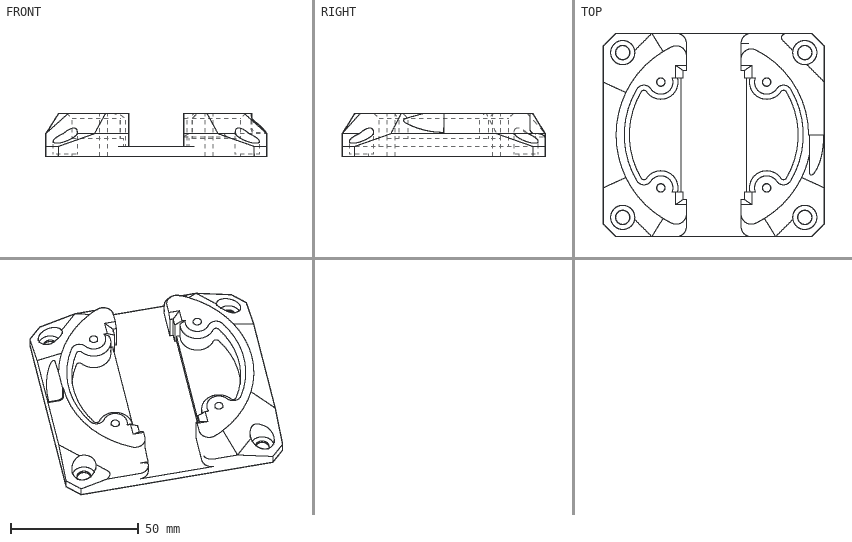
import cadquery as cq
import math

LENGTH = 87.0
WIDTH = 80.0
HEIGHT = 17.0
FLOOR_Z = 4.0
SHOULDER_Z = 9.0
POCKET_Z = 7.2
HALF_X = LENGTH / 2
HALF_Y = WIDTH / 2

LOW_CORNER = 5.0
HIGH_CORNER = 19.2

CHANNEL_HALF = 10.75
TIP_RADIUS = 4.0
TIP_X = CHANNEL_HALF + TIP_RADIUS
TIP_Y = HALF_Y - TIP_RADIUS
FLARE_MID_X = TIP_X - TIP_RADIUS * math.sqrt(0.5)
FLARE_MID_Y = TIP_Y + TIP_RADIUS * math.sqrt(0.5)
RIM_RADIUS = 38.4
SIDE_ANGLE = 25.8
END_ANGLE = 58.7

POCKET_RADIUS = 33.2
POCKET_START = 12.8
BOSS_OFFSET = 20.8
BOSS_RADIUS = 6.75
POCKET_FILLET = 1.25
POCKET_CHAMFER = 2.0
CHAMFER_Z = HEIGHT - POCKET_CHAMFER
BOSS_HOLE = 3.2

NOTCH_NEAR_Y = 22.4
NOTCH_FAR_Y = 25.4
NOTCH_X = 12.1
NOTCH_TOP_X = 15.0

MOUNT_X = 35.8
MOUNT_Y = 32.4
MOUNT_HOLE = 5.5
MOUNT_BORE = 9.5
BORE_Z = 1.0

LEDGE_RADIUS = 37.3
LEDGE_FILLET = 2.0
LEDGE_ROUND = 4.0
LEDGE_ROUND_WIDTH = 3.0

RUNOUT_X = 37.6
RUNOUT_Z = 9.5
RUNOUT_RADIUS = 32.0
RUNOUT_LENGTH = 17.0


def polar(radius, degrees):
    angle = math.radians(degrees)
    return (radius * math.cos(angle), radius * math.sin(angle))


def add_arc(sketch, radius, start, end):
    """Arc about the part axis between two polar angles."""
    return sketch.threePointArc(polar(radius, (start + end) / 2), polar(radius, end))


def octagon(z, leg):
    """Full-size rectangle with its corners cut off by the given leg."""
    x_in = HALF_X - leg
    y_in = HALF_Y - leg
    points = [
        (HALF_X, -y_in), (HALF_X, y_in), (x_in, HALF_Y), (-x_in, HALF_Y),
        (-HALF_X, y_in), (-HALF_X, -y_in), (-x_in, -HALF_Y), (x_in, -HALF_Y),
    ]
    return cq.Workplane("XY").workplane(offset=z).polyline(points).close()


def make_base():
    plate = octagon(0, LOW_CORNER).extrude(FLOOR_Z)
    low = octagon(FLOOR_Z, LOW_CORNER).val()
    high = octagon(SHOULDER_Z, HIGH_CORNER).val()
    return plate.union(cq.Workplane(cq.Solid.makeLoft([low, high], True)))


def channel_cut():
    """Channel above its floor, flaring with a quarter round at each end."""
    return (
        cq.Workplane("XY").workplane(offset=FLOOR_Z)
        .moveTo(CHANNEL_HALF, -TIP_Y)
        .lineTo(CHANNEL_HALF, TIP_Y)
        .threePointArc((FLARE_MID_X, FLARE_MID_Y), (TIP_X, HALF_Y))
        .lineTo(-TIP_X, HALF_Y)
        .threePointArc((-FLARE_MID_X, FLARE_MID_Y), (-CHANNEL_HALF, TIP_Y))
        .lineTo(-CHANNEL_HALF, -TIP_Y)
        .threePointArc((-FLARE_MID_X, -FLARE_MID_Y), (-TIP_X, -HALF_Y))
        .lineTo(TIP_X, -HALF_Y)
        .threePointArc((FLARE_MID_X, -FLARE_MID_Y), (CHANNEL_HALF, -TIP_Y))
        .close()
        .extrude(SHOULDER_Z - FLOOR_Z)
    )


def rim_tip(radius):
    """Y of the tip round's centre, the round's mid point and its meeting angle with the rim."""
    centre_y = math.sqrt((radius - TIP_RADIUS) ** 2 - TIP_X ** 2)
    meet_angle = math.degrees(math.atan2(centre_y, TIP_X))
    dx, dy = polar(TIP_RADIUS, (180 + meet_angle) / 2)
    return centre_y, (TIP_X + dx, centre_y + dy), meet_angle


def crescent():
    """Leaning wall from the +X half of the shoulder outline up to the round rim."""
    x_in = HALF_X - HIGH_CORNER
    y_in = HALF_Y - HIGH_CORNER
    shoulder = (
        cq.Workplane("XY").workplane(offset=SHOULDER_Z)
        .moveTo(CHANNEL_HALF, -TIP_Y)
        .threePointArc((FLARE_MID_X, -FLARE_MID_Y), (TIP_X, -HALF_Y))
        .lineTo(x_in, -HALF_Y)
        .lineTo(HALF_X, -y_in)
        .lineTo(HALF_X, y_in)
        .lineTo(x_in, HALF_Y)
        .lineTo(TIP_X, HALF_Y)
        .threePointArc((FLARE_MID_X, FLARE_MID_Y), (CHANNEL_HALF, TIP_Y))
        .close()
    )
    tip_y, (tip_mid_x, tip_mid_y), meet = rim_tip(RIM_RADIUS)
    rim = (
        cq.Workplane("XY").workplane(offset=HEIGHT)
        .moveTo(CHANNEL_HALF, -tip_y)
        .threePointArc((tip_mid_x, -tip_mid_y), polar(RIM_RADIUS, -meet))
    )
    angles = [-meet, -END_ANGLE, -SIDE_ANGLE, SIDE_ANGLE, END_ANGLE, meet]
    for start, end in zip(angles, angles[1:]):
        rim = add_arc(rim, RIM_RADIUS, start, end)
    rim = rim.threePointArc((tip_mid_x, tip_mid_y), (CHANNEL_HALF, tip_y)).close()
    return cq.Workplane(cq.Solid.makeLoft([shoulder.val(), rim.val()], True))


def pocket_outline(z, growth):
    """Pocket on the +X side, open to the channel and bulged in by the two bosses."""
    outer = POCKET_RADIUS + growth
    boss = BOSS_RADIUS - growth
    fillet = POCKET_FILLET + growth

    to_axis = outer - fillet
    to_boss = boss + fillet
    boss_axis = BOSS_OFFSET * math.sqrt(2)
    spread = math.acos((to_axis ** 2 + boss_axis ** 2 - to_boss ** 2) / (2 * to_axis * boss_axis))
    fillet_angle = 45 - math.degrees(spread)
    fillet_x, fillet_y = polar(to_axis, fillet_angle)

    mouth_x = BOSS_OFFSET - math.sqrt(boss ** 2 - (NOTCH_NEAR_Y - BOSS_OFFSET) ** 2)
    start_angle = math.degrees(math.atan2(NOTCH_NEAR_Y - BOSS_OFFSET, mouth_x - BOSS_OFFSET))
    end_angle = 360 + math.degrees(math.atan2(fillet_y - BOSS_OFFSET, fillet_x - BOSS_OFFSET))

    def boss_point(angle):
        dx, dy = polar(boss, angle)
        return (BOSS_OFFSET + dx, BOSS_OFFSET + dy)

    fillet_dx, fillet_dy = polar(fillet, (end_angle - 180 + fillet_angle) / 2)
    boss_mid = boss_point((start_angle + end_angle) / 2)
    boss_end = boss_point(end_angle)
    fillet_mid = (fillet_x + fillet_dx, fillet_y + fillet_dy)

    def mirrored(point):
        return (point[0], -point[1])

    outline = (
        cq.Workplane("XY").workplane(offset=z)
        .moveTo(POCKET_START, NOTCH_NEAR_Y)
        .lineTo(mouth_x, NOTCH_NEAR_Y)
        .threePointArc(boss_mid, boss_end)
        .threePointArc(fillet_mid, polar(outer, fillet_angle))
    )
    return (
        add_arc(outline, outer, fillet_angle, -fillet_angle)
        .threePointArc(mirrored(fillet_mid), mirrored(boss_end))
        .threePointArc(mirrored(boss_mid), (mouth_x, -NOTCH_NEAR_Y))
        .lineTo(POCKET_START, -NOTCH_NEAR_Y)
        .close()
    )


def block(x0, x1, y0, y1, z0, z1):
    return cq.Workplane("XY").box(x1 - x0, y1 - y0, z1 - z0, centered=False).translate((x0, y0, z0))


def notch_bevel(side):
    """Sloped lead-in above one notch; side is +1 or -1 along Y."""
    def level(z, x_end, y_end):
        points = [(0, 0), (x_end, 0), (x_end, side * y_end), (0, side * y_end)]
        return cq.Workplane("XY").workplane(offset=z).polyline(points).close().val()

    lower = level(CHAMFER_Z, NOTCH_X, NOTCH_FAR_Y)
    upper = level(HEIGHT, NOTCH_TOP_X, NOTCH_FAR_Y + POCKET_CHAMFER)
    clear = block(0, NOTCH_TOP_X, -NOTCH_NEAR_Y, NOTCH_NEAR_Y, FLOOR_Z, HEIGHT)
    return cq.Workplane(cq.Solid.makeLoft([lower, upper], True)).cut(clear)


def pocket_cut():
    wall = pocket_outline(POCKET_Z, 0).extrude(HEIGHT - POCKET_Z)
    lower = pocket_outline(CHAMFER_Z, 0).val()
    upper = pocket_outline(HEIGHT, POCKET_CHAMFER).val()
    bevel = cq.Workplane(cq.Solid.makeLoft([lower, upper], True))
    step = block(0, POCKET_START, -NOTCH_NEAR_Y, NOTCH_NEAR_Y, FLOOR_Z, HEIGHT)
    notch = block(0, NOTCH_X, -NOTCH_FAR_Y, NOTCH_FAR_Y, FLOOR_Z, HEIGHT)
    cut = wall.union(bevel).union(step).union(notch)
    return cut.union(notch_bevel(1)).union(notch_bevel(-1))


def ledge_foot(radius, sweep):
    """Fillet around the foot of a round wall, swept anticlockwise from +X."""
    bend = LEDGE_FILLET * (1 - math.sqrt(0.5))
    return (
        cq.Workplane("XZ")
        .moveTo(radius - LEDGE_FILLET, SHOULDER_Z)
        .lineTo(radius + LEDGE_FILLET, SHOULDER_Z)
        .threePointArc((radius + bend, SHOULDER_Z + bend), (radius, SHOULDER_Z + LEDGE_FILLET))
        .lineTo(radius - LEDGE_FILLET, SHOULDER_Z + LEDGE_FILLET)
        .close()
        .revolve(sweep, (0, 0, 0), (0, 1, 0))
    )


def ledge_cut():
    """Clears the +X +Y quarter down to the shoulder, outside a filleted upright wall."""
    tip_y, tip_mid, meet = rim_tip(LEDGE_RADIUS)
    depth = HEIGHT - SHOULDER_Z
    wall = (
        cq.Workplane("XY").workplane(offset=SHOULDER_Z)
        .moveTo(0, 0)
        .lineTo(LEDGE_RADIUS, 0)
    )
    wall = (
        add_arc(wall, LEDGE_RADIUS, 0, meet)
        .threePointArc(tip_mid, (CHANNEL_HALF, tip_y))
        .lineTo(0, tip_y)
        .close()
        .extrude(depth)
    )
    rim_foot = ledge_foot(LEDGE_RADIUS, meet)
    tip_foot = ledge_foot(TIP_RADIUS, 180 - meet).rotate((0, 0, 0), (0, 0, 1), meet)
    tip_foot = tip_foot.translate((TIP_X, tip_y, 0))
    quarter = block(0, HALF_X, 0, HALF_Y, SHOULDER_Z, HEIGHT)
    return quarter.cut(wall).cut(rim_foot).cut(tip_foot)


def ledge_edge_cut():
    """Rounds the ledge's +Y edge and carries the rounding about the crescent tip."""
    inner = TIP_RADIUS - LEDGE_ROUND_WIDTH

    def round_z(run):
        return SHOULDER_Z - LEDGE_ROUND + math.sqrt(LEDGE_ROUND ** 2 - run ** 2)

    def profile(workplane):
        return (
            workplane
            .moveTo(inner, SHOULDER_Z)
            .threePointArc(
                (inner + LEDGE_ROUND_WIDTH / 2, round_z(LEDGE_ROUND_WIDTH / 2)),
                (TIP_RADIUS, round_z(LEDGE_ROUND_WIDTH)),
            )
            .lineTo(TIP_RADIUS, SHOULDER_Z)
            .close()
        )

    edge = profile(cq.Workplane("YZ")).extrude(HALF_X - TIP_X)
    corner = profile(cq.Workplane("YZ")).revolve(90, (0, 0, 0), (0, 1, 0))
    return edge.union(corner).translate((TIP_X, TIP_Y, 0))


def runout_cut():
    """Scoop rising away from the ledge, with a filleted inner edge."""
    def scoop_z(y):
        return RUNOUT_Z + RUNOUT_RADIUS - math.sqrt(RUNOUT_RADIUS ** 2 - y ** 2)

    scoop = (
        cq.Workplane("YZ").workplane(offset=RUNOUT_X)
        .moveTo(0, RUNOUT_Z)
        .threePointArc(
            (-RUNOUT_LENGTH / 2, scoop_z(RUNOUT_LENGTH / 2)),
            (-RUNOUT_LENGTH, scoop_z(RUNOUT_LENGTH)),
        )
        .lineTo(-RUNOUT_LENGTH, HEIGHT + LEDGE_FILLET)
        .lineTo(0, HEIGHT + LEDGE_FILLET)
        .close()
        .extrude(HALF_X - RUNOUT_X)
    )
    inner_edge = (RUNOUT_X, -RUNOUT_LENGTH / 2, scoop_z(RUNOUT_LENGTH / 2))
    return scoop.edges(cq.NearestToPointSelector(inner_edge)).fillet(LEDGE_FILLET)


def hole_cut(offset_x, offset_y, diameter, bottom):
    """Four equal bores, one in each quarter, open upwards."""
    return (
        cq.Workplane("XY").workplane(offset=bottom)
        .rect(2 * offset_x, 2 * offset_y, forConstruction=True)
        .vertices()
        .circle(diameter / 2)
        .extrude(HEIGHT - bottom)
    )


body = make_base().cut(channel_cut())
right = crescent()
body = body.union(right).union(right.mirror("YZ"))

body = body.cut(ledge_cut())
body = body.cut(ledge_edge_cut())
body = body.cut(runout_cut())

pocket = pocket_cut()
body = body.cut(pocket).cut(pocket.mirror("YZ"))

body = body.cut(hole_cut(BOSS_OFFSET, BOSS_OFFSET, BOSS_HOLE, 0))
body = body.cut(hole_cut(MOUNT_X, MOUNT_Y, MOUNT_HOLE, 0))
body = body.cut(hole_cut(MOUNT_X, MOUNT_Y, MOUNT_BORE, BORE_Z))

result = body